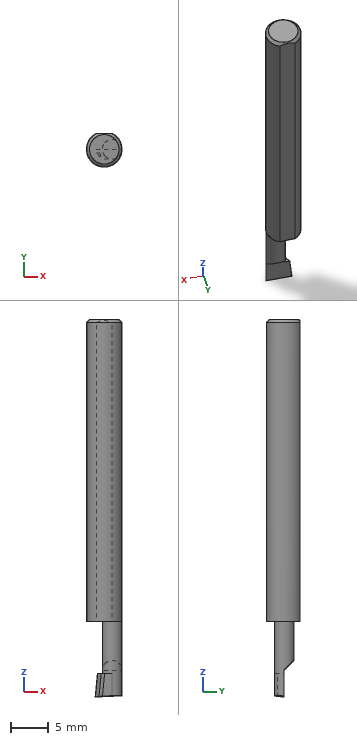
import cadquery as cq

total_length = 50.8
shank_diameter = 4.8
shank_radius = shank_diameter / 2
flat_distance = 2.15
shank_bottom = 10.15
chamfer_width = 0.4
chamfer_height = 0.4

neck_diameter = 2.65
neck_radius = neck_diameter / 2
neck_x = shank_radius - neck_radius

runout_start = 3.6

head_height = 3.2
head_lean = 0.3
cutting_edge_x = -1.2
flank_x = -0.7
flank_y = -0.9
heel_x = -0.25
heel_y = -neck_radius

edge_relief_angle = 2.5
end_relief_angle = 4.0
clearance = 0.5


def make_shank():
    """Round shank with a chamfered top and a flat along its +Y side."""
    shank = (
        cq.Workplane("XY")
        .workplane(offset=shank_bottom)
        .circle(shank_radius)
        .extrude(total_length - shank_bottom)
        .faces(">Z")
        .chamfer(chamfer_height, chamfer_width)
    )
    flat_cut = cq.Workplane("XY").box(
        shank_diameter, shank_diameter, total_length, centered=(True, False, False)
    ).translate((0, flat_distance, 0))
    return shank.cut(flat_cut)


def make_neck():
    """Eccentric neck, halved at its lower end up to a sloping run-out."""
    neck = cq.Workplane("XY").center(neck_x, 0).circle(neck_radius).extrude(shank_bottom)
    cut_depth = neck_radius + clearance
    half_cut = (
        cq.Workplane("YZ")
        .polyline([
            (0, -clearance),
            (cut_depth, -clearance),
            (cut_depth, runout_start + cut_depth),
            (0, runout_start),
        ])
        .close()
        .extrude(2 * shank_diameter, both=True)
    )
    return neck.cut(half_cut)


def head_outline(lean):
    """Corners of the head section, with its flank moved along +X by lean."""
    return [
        (neck_x, 0),
        (cutting_edge_x + lean, 0),
        (flank_x + lean, flank_y),
        (heel_x + lean, heel_y),
        (neck_x, -neck_radius),
    ]


def make_head():
    """Faceted head whose flank leans back from the cutting corner."""
    return (
        cq.Workplane("XY")
        .polyline(head_outline(0))
        .close()
        .workplane(offset=head_height)
        .polyline(head_outline(head_lean))
        .close()
        .loft(ruled=True)
    )


def make_end_relief():
    """Block below the end face, which rises toward +X and -Y from the corner."""
    block_size = 4 * shank_diameter
    block = cq.Workplane("XY").box(block_size, block_size, block_size, centered=(True, True, False))
    block = block.translate((0, 0, -block_size))
    block = block.rotate((0, 0, 0), (1, 0, 0), -end_relief_angle)
    block = block.rotate((0, 0, 0), (0, 1, 0), -edge_relief_angle)
    return block.translate((cutting_edge_x, 0, 0))


tip = make_neck().union(make_head()).cut(make_end_relief())
result = make_shank().union(tip)